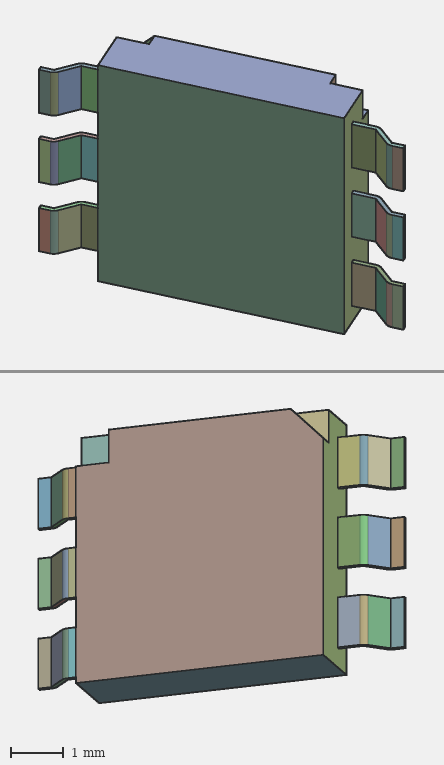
import cadquery as cq
import math

body_width = 5.0
body_thickness = 1.3
body_height = 5.0
seat_y = -body_thickness / 2
back_y = body_thickness / 2

recess_size = 0.66
recess_depth = 0.3

overall_width = 7.4
lead_width = 1.0
lead_pitch = 1.6
leads_per_side = 3
lead_thickness = 0.1
lead_rise = 0.5
foot_length = 0.31
bend_radius = 0.2
bend_angle = 45.0


def make_body():
    """Block with a bevelled recess at one back corner and a square one at the other."""
    block = cq.Workplane("XY").box(body_width, body_thickness, body_height)

    left = -body_width / 2
    right = body_width / 2
    top = body_height / 2
    recess_floor = cq.Workplane("XZ", origin=(0, back_y - recess_depth, 0))
    bevel = (
        recess_floor.polyline([(left, top), (left + recess_size, top), (left, top - recess_size)])
        .close()
        .extrude(-recess_depth)
    )
    square = (
        recess_floor.moveTo(right - recess_size / 2, top - recess_size / 2)
        .rect(recess_size, recess_size)
        .extrude(-recess_depth)
    )
    return block.cut(bevel).cut(square)


def make_lead(z_center):
    """Lead on the -X side: foot, 45 degree leg and shoulder, rounded outside each bend."""
    tip_x = -overall_width / 2
    body_x = -body_width / 2
    slope = math.tan(math.radians(bend_angle))
    mitre = lead_thickness * math.tan(math.radians(bend_angle / 2))
    leg_run = (lead_rise - lead_thickness) / slope

    foot_under_x = tip_x + foot_length
    foot_over_x = foot_under_x - mitre
    foot_top_y = seat_y + lead_thickness
    shoulder_top_y = seat_y + lead_rise
    shoulder_under_y = shoulder_top_y - lead_thickness

    profile = [
        (tip_x, seat_y),
        (foot_under_x, seat_y),
        (foot_under_x + leg_run, shoulder_under_y),
        (body_x, shoulder_under_y),
        (body_x, shoulder_top_y),
        (foot_over_x + leg_run, shoulder_top_y),
        (foot_over_x, foot_top_y),
        (tip_x, foot_top_y),
    ]
    lead = (
        cq.Workplane("XY", origin=(0, 0, z_center - lead_width / 2))
        .polyline(profile)
        .close()
        .extrude(lead_width)
    )
    outer_bends = [(foot_under_x, seat_y), (foot_over_x + leg_run, shoulder_top_y)]
    for x, y in outer_bends:
        lead = lead.edges(cq.selectors.NearestToPointSelector((x, y, z_center))).fillet(bend_radius)
    return lead


result = make_body()
for index in range(leads_per_side):
    z_center = (index - (leads_per_side - 1) / 2) * lead_pitch
    left_lead = make_lead(z_center)
    result = result.union(left_lead).union(left_lead.mirror("YZ"))